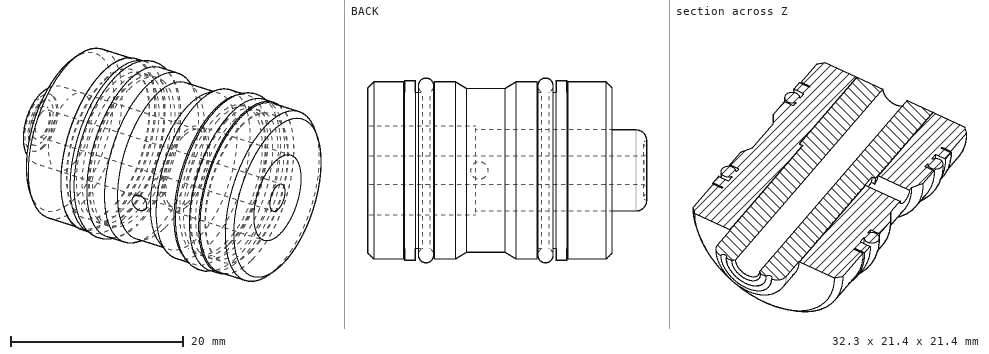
import cadquery as cq

TOTAL_LENGTH = 32.3

STEM_RADIUS = 4.72
STEM_TIP_FILLET = 1.25
STEM_STEP_X = 19.85
STEM_REAR_RADIUS = 5.17
TIP_GROOVE_WIDTH = 0.7
BORE_RADIUS = 1.65
BORE_MOUTH_RADIUS = 1.97
BORE_MOUTH_DEPTH = 0.32

HOUSING_START = 4.0
HOUSING_RADIUS = 10.27
HOUSING_CHAMFER = 0.7

WAIST_CENTER_X = 18.65
WAIST_RADIUS = 9.5
WAIST_HALF_LENGTH = 2.23
WAIST_CONE_OFFSET = 3.52
GROOVE_FLOOR_RADIUS = 9.05
GROOVE_INNER_OFFSET = 5.95
GROOVE_OUTER_OFFSET = 9.5

O_RING_OFFSET = 6.9
O_RING_SECTION_RADIUS = 1.78 / 2
O_RING_OUTER_RADIUS = 21.42 / 2
BACKUP_RING_RADIUS = 10.4
BACKUP_RING_INNER_OFFSET = 8.15
BACKUP_RING_OUTER_OFFSET = 9.4

VENT_X = 19.4
VENT_RADIUS = 1.0


def cylinder(start_x, end_x, radius):
    """A solid cylinder along the X axis."""
    return cq.Workplane("YZ", origin=(start_x, 0, 0)).circle(radius).extrude(end_x - start_x)


def revolved(outline):
    """Turn a closed outline, drawn as (x, radius), about the X axis."""
    return outline.close().revolve(360, (0, 0, 0), (1, 0, 0))


def make_o_ring(center_x):
    """A ring of round section about the X axis."""
    center_radius = O_RING_OUTER_RADIUS - O_RING_SECTION_RADIUS
    section = cq.Workplane("XY").center(center_x, center_radius).circle(O_RING_SECTION_RADIUS)
    return section.revolve(360, (0, -center_radius, 0), (1, -center_radius, 0))


def stepped_shaft():
    """The stem's full cylinder and the larger one behind its step, which fill the housing's bore."""
    front = cylinder(0, STEM_STEP_X, STEM_RADIUS)
    return front.union(cylinder(STEM_STEP_X, TOTAL_LENGTH, STEM_REAR_RADIUS))


def make_stem():
    """The stem, with its rounded and grooved tip and its through bore."""
    stem = stepped_shaft().faces("<X").edges().fillet(STEM_TIP_FILLET)

    groove_outer_radius = STEM_RADIUS - STEM_TIP_FILLET
    groove_depth = TIP_GROOVE_WIDTH / 2
    groove = (
        cq.Workplane("XY")
        .moveTo(0, groove_outer_radius)
        .threePointArc(
            (groove_depth, groove_outer_radius - groove_depth),
            (0, groove_outer_radius - TIP_GROOVE_WIDTH),
        )
    )
    stem = stem.cut(revolved(groove))

    bore = (
        cq.Workplane("XY")
        .moveTo(0, 0)
        .lineTo(0, BORE_MOUTH_RADIUS)
        .lineTo(BORE_MOUTH_DEPTH, BORE_RADIUS)
        .lineTo(TOTAL_LENGTH, BORE_RADIUS)
        .lineTo(TOTAL_LENGTH, 0)
    )
    return stem.cut(revolved(bore))


def waist_cutter():
    """The ring of material between the housing's outer cylinder and its waist with conical sides."""
    outline = (
        cq.Workplane("XY")
        .moveTo(WAIST_CENTER_X - WAIST_CONE_OFFSET, HOUSING_RADIUS)
        .lineTo(WAIST_CENTER_X - WAIST_HALF_LENGTH, WAIST_RADIUS)
        .lineTo(WAIST_CENTER_X + WAIST_HALF_LENGTH, WAIST_RADIUS)
        .lineTo(WAIST_CENTER_X + WAIST_CONE_OFFSET, HOUSING_RADIUS)
    )
    return revolved(outline)


def tube(offset_a, offset_b, inner_radius, outer_radius):
    """A tube between two offsets from the waist's centre plane."""
    start_x = WAIST_CENTER_X + min(offset_a, offset_b)
    end_x = WAIST_CENTER_X + max(offset_a, offset_b)
    return cylinder(start_x, end_x, outer_radius).cut(cylinder(start_x, end_x, inner_radius))


def make_housing():
    """The waisted housing, one solid with its two O-rings and two backup rings."""
    housing = cylinder(HOUSING_START, TOTAL_LENGTH, HOUSING_RADIUS)
    housing = housing.faces("<X or >X").edges().chamfer(HOUSING_CHAMFER)
    housing = housing.cut(waist_cutter())

    for side in (-1, 1):
        groove = tube(
            side * GROOVE_INNER_OFFSET, side * GROOVE_OUTER_OFFSET, GROOVE_FLOOR_RADIUS, HOUSING_RADIUS
        )
        backup_ring = tube(
            side * BACKUP_RING_INNER_OFFSET,
            side * BACKUP_RING_OUTER_OFFSET,
            GROOVE_FLOOR_RADIUS,
            BACKUP_RING_RADIUS,
        )
        o_ring = make_o_ring(WAIST_CENTER_X + side * O_RING_OFFSET)
        housing = housing.cut(groove).union(backup_ring).union(o_ring)

    vent = cq.Workplane("XZ", origin=(VENT_X, 0, 0)).circle(VENT_RADIUS).extrude(HOUSING_RADIUS)
    return housing.cut(vent).cut(stepped_shaft())


stem = make_stem()
housing = make_housing()

result = cq.Compound.makeCompound([housing.solids().val(), stem.solids().val()])